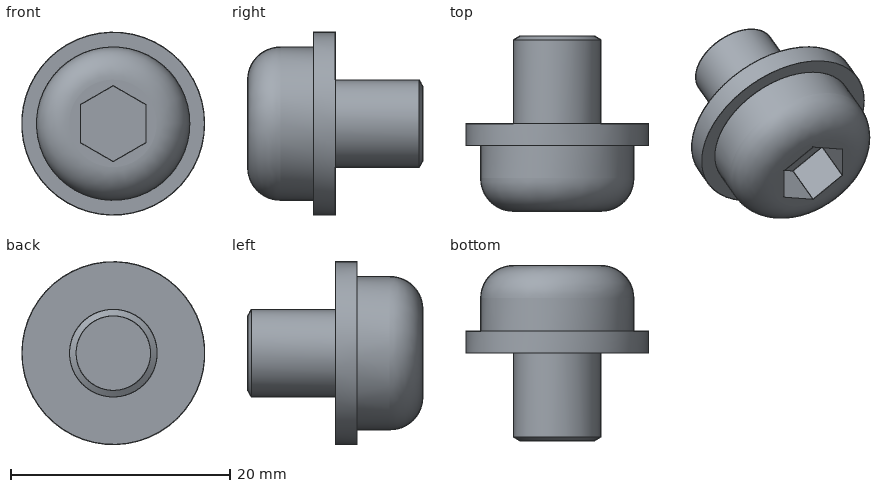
import cadquery as cq
import math

flange_diameter = 16.7
flange_thickness = 2.0
head_diameter = 14.0
head_height = 6.0
head_edge_radius = 3.0
shank_diameter = 8.0
shank_length = 8.0
tip_chamfer_length = 0.35
tip_chamfer_depth = 0.6
socket_across_flats = 6.0
socket_depth = 4.0


def disc(diameter, start_y, length):
    """Cylinder about the Y axis, growing towards +Y from start_y."""
    plane = cq.Workplane("XZ", origin=(0, start_y, 0))
    return plane.circle(diameter / 2).extrude(-length)


flange = disc(flange_diameter, -flange_thickness, flange_thickness)

head_face_y = -flange_thickness - head_height
head = disc(head_diameter, head_face_y, head_height)
head = head.faces("<Y").edges().fillet(head_edge_radius)

tip_start_y = shank_length - tip_chamfer_length
shank = disc(shank_diameter, 0, tip_start_y)
tip = (
    cq.Workplane("XZ", origin=(0, tip_start_y, 0))
    .circle(shank_diameter / 2)
    .workplane(offset=-tip_chamfer_length)
    .circle(shank_diameter / 2 - tip_chamfer_depth)
    .loft()
)

socket_across_corners = socket_across_flats / math.cos(math.radians(30))
socket = (
    cq.Workplane("XZ", origin=(0, head_face_y, 0))
    .transformed(rotate=(0, 0, 90))
    .polygon(6, socket_across_corners)
    .extrude(-socket_depth)
)

result = flange.union(head).union(shank).union(tip).cut(socket)